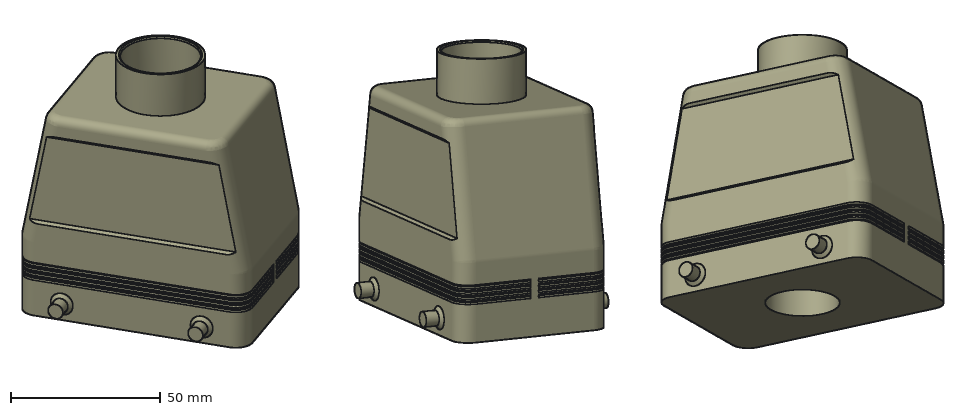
import cadquery as cq
body_length = 82.0
body_width = 56.0
body_height = 75.0
top_length = 64.0
skirt_height = 28.0
taper_blend_radius = 5.0
corner_radius = 6.0
top_edge_radius = 3.0

recess_depth = 1.0
recess_bottom = 34.5
recess_top = 68.0

groove_count = 4
groove_pitch = 1.8
groove_width = 1.2
groove_depth = 0.4
lowest_groove_z = 13.85
groove_gap = 3.0

pin_spacing = 50.0
pin_height = 6.0
pin_span = 68.0
pin_diameter = 5.3
pin_root_diameter = 8.0
pin_cone_height = 1.2

total_height = 90.5
collar_diameter = 30.0
entry_diameter = 27.0
entry_chamfer = 0.5
entry_floor_z = 76.5
relief_diameter = 28.0
relief_floor_z = 74.0
bore_diameter = 25.0

overlap = 1.0

half_length = body_length / 2
half_width = body_width / 2


def hood_body():
    """Trapezoid-topped block with rounded corners and top edges."""
    half_top = top_length / 2
    body = (
        cq.Workplane("XZ")
        .polyline([
            (-half_length, 0),
            (half_length, 0),
            (half_length, skirt_height),
            (half_top, body_height),
            (-half_top, body_height),
            (-half_length, skirt_height),
        ])
        .close()
        .extrude(half_width, both=True)
    )
    kink_probe = cq.selectors.BoxSelector(
        (-body_length, -body_width, skirt_height - overlap),
        (body_length, body_width, skirt_height + overlap),
    )
    body = body.edges("|Y").edges(kink_probe).fillet(taper_blend_radius)
    corner_edges = body.faces("<Y or >Y").edges("not(<Z or >Z)")
    body = corner_edges.fillet(corner_radius)
    return body.faces(">Z").edges().fillet(top_edge_radius)


def side_recess(side):
    """Cutter for the recess with 45 degree ends in one long wall (side is -1 or 1)."""
    face_y = side * half_width
    floor_y = side * (half_width - recess_depth)
    return (
        cq.Workplane("YZ")
        .polyline([
            (floor_y, recess_bottom + recess_depth),
            (floor_y, recess_top - recess_depth),
            (face_y, recess_top),
            (face_y, recess_bottom),
        ])
        .close()
        .extrude(half_length, both=True)
    )


def skirt_outline(inset):
    """Rounded outline of the skirt, moved inwards by the inset."""
    outline = cq.Sketch().rect(body_length - 2 * inset, body_width - 2 * inset)
    return outline.vertices().fillet(corner_radius - inset)


def groove_ring(z):
    """Cutter for one V groove centred on height z, interrupted in the middle of both end walls."""
    half_groove = groove_width / 2
    groove_bottom = cq.Workplane("XY", origin=(0, 0, z - half_groove))
    outer = skirt_outline(0)
    root = skirt_outline(groove_depth).moved(cq.Location(cq.Vector(0, 0, half_groove)))
    lower_core = groove_bottom.placeSketch(outer, root).loft(ruled=True)
    upper_core = lower_core.mirror("XY", (0, 0, z))
    gap = cq.Workplane("XY", origin=(0, 0, z)).box(body_length, groove_gap, groove_width)
    band = groove_bottom.placeSketch(outer).extrude(groove_width)
    return band.cut(lower_core).cut(upper_core).cut(gap)


def locking_pin(x, side):
    """Round pin with a conical root on one long wall (side is -1 or 1)."""
    pin_radius = pin_diameter / 2
    root_radius = pin_root_diameter / 2
    profile = (
        cq.Workplane("XY")
        .polyline([
            (0, half_width - overlap),
            (root_radius, half_width - overlap),
            (root_radius, half_width),
            (pin_radius, half_width + pin_cone_height),
            (pin_radius, pin_span / 2),
            (0, pin_span / 2),
        ])
        .close()
    )
    pin = profile.revolve(360, (0, 0, 0), (0, 1, 0))
    if side < 0:
        pin = pin.mirror("XZ")
    return pin.translate((x, 0, pin_height))


def collar():
    """Cylindrical cable entry standing on the hood."""
    return (
        cq.Workplane("XY", origin=(0, 0, body_height - overlap))
        .circle(collar_diameter / 2)
        .extrude(total_height - body_height + overlap)
    )


def entry_bore():
    """Cutter for the through bore: chamfered mouth, entry bore, relief with a rounded floor, bore."""
    bore_radius = bore_diameter / 2
    entry_radius = entry_diameter / 2
    relief_radius = relief_diameter / 2
    floor_radius = relief_radius - bore_radius
    return (
        cq.Workplane("XZ")
        .moveTo(0, 0)
        .lineTo(bore_radius, 0)
        .lineTo(bore_radius, relief_floor_z)
        .radiusArc((relief_radius, relief_floor_z + floor_radius), -floor_radius)
        .lineTo(relief_radius, entry_floor_z)
        .lineTo(entry_radius, entry_floor_z)
        .lineTo(entry_radius, total_height - entry_chamfer)
        .lineTo(entry_radius + entry_chamfer, total_height)
        .lineTo(0, total_height)
        .close()
        .revolve(360, (0, 0, 0), (0, 1, 0))
    )


part = hood_body()
for wall in (-1, 1):
    part = part.cut(side_recess(wall))
for index in range(groove_count):
    part = part.cut(groove_ring(lowest_groove_z + index * groove_pitch))
for wall in (-1, 1):
    for pin_x in (-pin_spacing / 2, pin_spacing / 2):
        part = part.union(locking_pin(pin_x, wall))
result = part.union(collar()).cut(entry_bore())